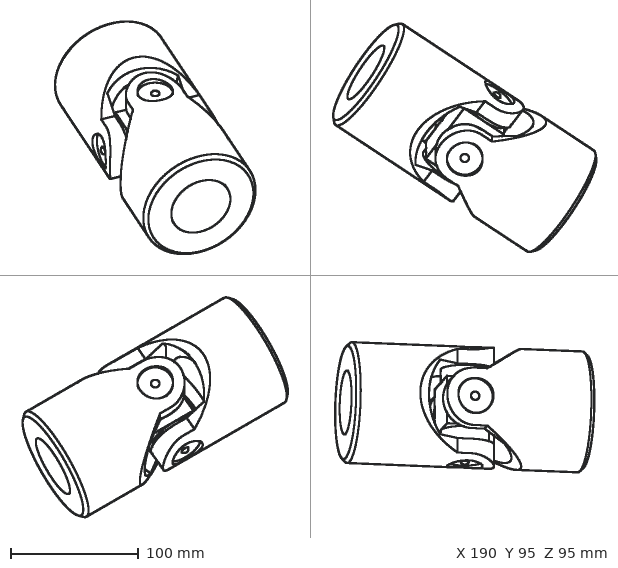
import cadquery as cq

length = 190.0
outer_diameter = 95.0
bore_diameter = 50.0
end_chamfer = 3.0
half_length = length / 2
outer_radius = outer_diameter / 2

prong_radius = 23.0
prong_straight = 10.0
shoulder_reach = 44.5
prong_gap = 59.8

pocket_radius = 41.8
pocket_centre_offset = 21.0

block_size = 38.0
block_width = 52.0
boss_diameter = 38.0
pin_diameter = 28.0
pin_span = 87.4
dome_diameter = 6.6
dome_height = 2.0


def make_body():
    """Chamfered tube from the prong tips to the outer end of the yoke."""
    body_length = half_length + prong_radius
    return (
        cq.Workplane("YZ", origin=(-prong_radius, 0, 0))
        .circle(outer_radius)
        .extrude(body_length)
        .faces(">X")
        .chamfer(end_chamfer)
        .faces(">X")
        .workplane()
        .circle(bore_diameter / 2)
        .cutThruAll()
    )


def make_fork_outline():
    """Prism along Z: round prong tip, straight flanks, sloping shoulders and full-width body."""
    return (
        cq.Workplane("XY")
        .moveTo(0, prong_radius)
        .lineTo(prong_straight, prong_radius)
        .lineTo(shoulder_reach, outer_radius)
        .lineTo(half_length, outer_radius)
        .lineTo(half_length, -outer_radius)
        .lineTo(shoulder_reach, -outer_radius)
        .lineTo(prong_straight, -prong_radius)
        .lineTo(0, -prong_radius)
        .threePointArc((-prong_radius, 0), (0, prong_radius))
        .close()
        .extrude(outer_radius, both=True)
    )


def make_pocket():
    """Round-ended cylinder along Y, trimmed flat at the inner faces of the prongs."""
    pocket = cq.Workplane("XZ").circle(pocket_radius).extrude(pocket_centre_offset, both=True)
    for side in (-1, 1):
        centre = (0, side * pocket_centre_offset, 0)
        pocket = pocket.union(cq.Workplane("XY", origin=centre).sphere(pocket_radius))
    pocket_extent = 2 * (pocket_radius + pocket_centre_offset)
    return pocket.intersect(cq.Workplane("XY").box(pocket_extent, pocket_extent, prong_gap))


def make_yoke():
    """Yoke on the +X side with its prongs above and below the joint centre."""
    pin_hole = cq.Workplane("XY").circle(pin_diameter / 2).extrude(outer_radius, both=True)
    return make_body().intersect(make_fork_outline()).cut(make_pocket()).cut(pin_hole)


def make_cross_arm():
    """Boss, pin and domed centre mark pointing along +Z from the joint centre."""
    pin_end = pin_span / 2
    dome_radius = dome_diameter / 2
    sphere_radius = (dome_radius**2 + dome_height**2) / (2 * dome_height)
    boss = cq.Workplane("XY").circle(boss_diameter / 2).extrude(prong_gap / 2)
    pin = cq.Workplane("XY").circle(pin_diameter / 2).extrude(pin_end)
    dome = cq.Workplane("XY", origin=(0, 0, pin_end + dome_height - sphere_radius)).sphere(sphere_radius)
    return boss.union(pin).union(dome)


def make_cross():
    """Rectangular block with four equal arms, two along Y and two along Z."""
    cross = cq.Workplane("XY").box(block_size, block_width, block_size)
    for angle in (0, 90, 180, 270):
        cross = cross.union(make_cross_arm().rotate((0, 0, 0), (1, 0, 0), angle))
    return cross


right_yoke = make_yoke()
left_yoke = make_yoke().rotate((0, 0, 0), (0, 0, 1), 180).rotate((0, 0, 0), (1, 0, 0), 90)
cross = make_cross()

result = cq.Compound.makeCompound([left_yoke.val(), right_yoke.val(), cross.val()])